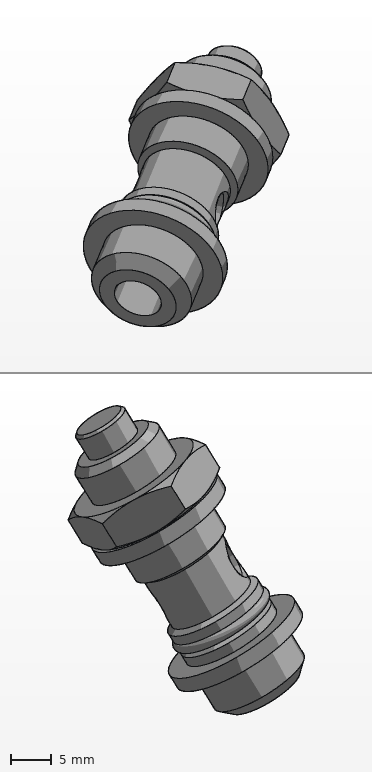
import cadquery as cq
import math

length = 40.9
nose_end = -length / 2
tip_end = length / 2

shaft_radius = 6.45
nose_chamfer = 1.5

collar_radius = 9.0
collar_thickness = 2.0
front_collar_start = -14.1
rear_collar_start = 4.85

neck_radius = 5.65
neck_start = -7.08
neck_end = 0.0
shoulder_slope = math.tan(math.radians(30))
shoulder_length = (shaft_radius - neck_radius) * shoulder_slope

ring_section_radius = 0.65
groove_radius = 5.52
ring_center_radius = groove_radius + ring_section_radius
ring_center_y = -9.57
groove_start = -10.75
groove_end = -8.85
groove_cone_length = (shaft_radius - groove_radius) * shoulder_slope

hex_across_flats = 16.98
hex_corner_diameter = hex_across_flats / math.cos(math.radians(30))
hex_length = 5.0
hex_start = rear_collar_start + collar_thickness
hex_end = hex_start + hex_length
hex_chamfer_angle = 30.0

rear_radius = 6.0
rear_end = 16.95
rear_chamfer = 1.0
tip_radius = 3.5
tip_chamfer = 0.35

bore_radius = 3.03
bore_depth = 8.2

port_radius = 2.25
port_y = -3.6
port_floor_radius = 4.5
port_countersink_x = math.sqrt(neck_radius**2 - port_radius**2)


def revolve_about_y(points):
    """Turn a closed (radius, y) outline about the Y axis."""
    return cq.Workplane("XY").polyline(points).close().revolve(360, (0, 0, 0), (0, 1, 0))


def cylinder_along_y(radius, start, depth):
    return cq.Workplane("XZ", origin=(0, start, 0)).circle(radius).extrude(-depth)


def make_turned_shaft():
    return revolve_about_y([
        (0, nose_end),
        (shaft_radius - nose_chamfer, nose_end),
        (shaft_radius, nose_end + nose_chamfer),
        (shaft_radius, groove_start),
        (groove_radius, groove_start + groove_cone_length),
        (groove_radius, groove_end),
        (shaft_radius, groove_end),
        (shaft_radius, neck_start - shoulder_length),
        (neck_radius, neck_start),
        (neck_radius, neck_end),
        (shaft_radius, neck_end + shoulder_length),
        (shaft_radius, hex_start),
        (rear_radius, hex_start),
        (rear_radius, rear_end - rear_chamfer),
        (rear_radius - rear_chamfer, rear_end),
        (tip_radius, rear_end),
        (tip_radius, tip_end - tip_chamfer),
        (tip_radius - tip_chamfer, tip_end),
        (0, tip_end),
    ])


def make_hexagon():
    """Hexagon with corners on X, its corners turned off conically at both ends."""
    prism = (
        cq.Workplane("XZ", origin=(0, hex_start, 0))
        .polygon(6, hex_corner_diameter)
        .extrude(-hex_length)
    )
    flat_radius = hex_across_flats / 2
    corner_radius = hex_corner_diameter / 2
    chamfer_length = (corner_radius - flat_radius) * math.tan(math.radians(hex_chamfer_angle))
    envelope = revolve_about_y([
        (0, hex_start),
        (flat_radius, hex_start),
        (corner_radius, hex_start + chamfer_length),
        (corner_radius, hex_end - chamfer_length),
        (flat_radius, hex_end),
        (0, hex_end),
    ])
    return prism.intersect(envelope)


def make_port_cutter(side):
    """Port with a 45 degree countersink, opening toward +X (side 1) or -X (side -1)."""
    outer_x = shaft_radius
    flared_radius = port_radius + outer_x - port_countersink_x
    cutter = (
        cq.Workplane("XY")
        .moveTo(0, port_y)
        .lineTo(0, port_y + port_radius)
        .lineTo(side * port_countersink_x, port_y + port_radius)
        .lineTo(side * outer_x, port_y + flared_radius)
        .lineTo(side * outer_x, port_y)
        .close()
        .revolve(360, (0, port_y, 0), (1, port_y, 0))
    )
    core = cylinder_along_y(port_floor_radius, port_y - shaft_radius, 2 * shaft_radius)
    return cutter.cut(core)


def make_housing():
    housing = make_turned_shaft().union(make_hexagon())
    for collar_start in (front_collar_start, rear_collar_start):
        housing = housing.union(cylinder_along_y(collar_radius, collar_start, collar_thickness))
    housing = housing.cut(cylinder_along_y(bore_radius, nose_end, bore_depth))
    for side in (-1, 1):
        housing = housing.cut(make_port_cutter(side))
    return housing


def make_o_ring():
    return (
        cq.Workplane("XY")
        .center(ring_center_radius, ring_center_y)
        .circle(ring_section_radius)
        .revolve(360, (-ring_center_radius, 0, 0), (-ring_center_radius, 1, 0))
    )


housing = make_housing()
o_ring = make_o_ring()
result = cq.Compound.makeCompound([housing.solids().val(), o_ring.solids().val()])